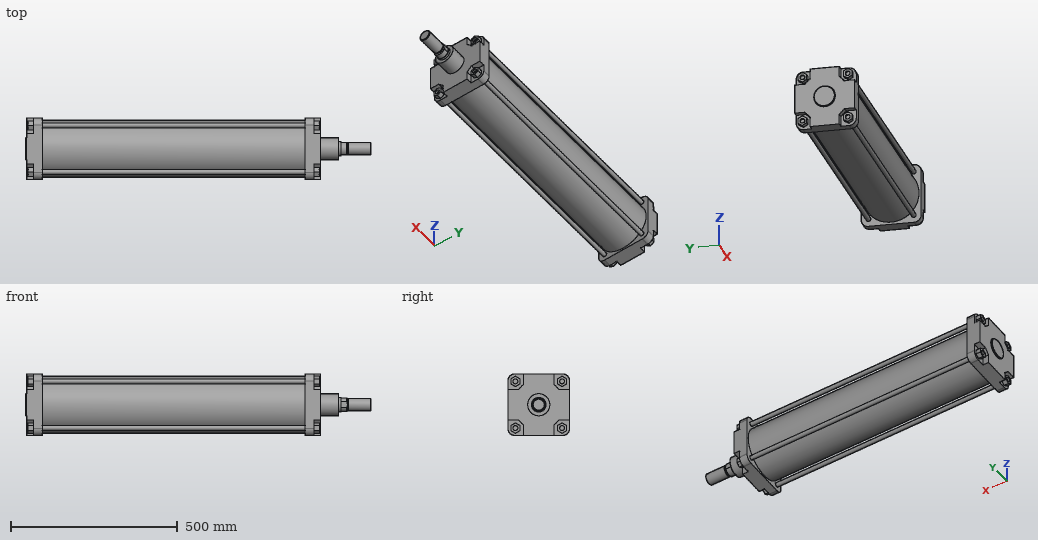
import cadquery as cq

OVERALL_LENGTH = 1038

HEAD_SIDE = 186.0
HEAD_THICKNESS = 47.0
HEAD_CORNER_RADIUS = 22.0
POCKET_SIDE = 48.0
POCKET_CHAMFER = 17.0
POCKET_DEPTH = 20.0
FRONT_FACE_X = 882.0
REAR_BOSS_LENGTH = 4.0
REAR_BOSS_CHAMFER = 2.0
REAR_BOSS_RADIUS = 33.0
FRONT_BOSS_LENGTH = 54.0
FRONT_BOSS_RADIUS = 33.0

BARREL_RADIUS = 86.0
FRONT_HEAD_INNER_X = FRONT_FACE_X - HEAD_THICKNESS

TIE_ROD_RADIUS = 7.0
TIE_ROD_EDGE_DISTANCE = 23.0
TIE_ROD_OFFSET = HEAD_SIDE / 2 - TIE_ROD_EDGE_DISTANCE
NUT_ACROSS_CORNERS = 31.0
NUT_HEIGHT = 16.0
HEX_SIDES = 6
SOCKET_RADIUS = 7.0
SOCKET_DEPTH = 6.0

ROD_RADIUS = 22.0
COLLAR_LENGTH = 6.0
WRENCH_RADIUS = 21.0
FLAT_LENGTH = 21.0
ACROSS_FLATS = 37.0
SHOULDER_CHAMFER = 3.0
RELIEF_LENGTH = 3.0
RELIEF_RADIUS = 18.0
THREAD_RADIUS = 19.0
THREAD_CHAMFER = 2.0
ROD_END_X = OVERALL_LENGTH - REAR_BOSS_LENGTH

FRONT_BOSS_END_X = FRONT_FACE_X + FRONT_BOSS_LENGTH
FLAT_START_X = FRONT_BOSS_END_X + COLLAR_LENGTH
SHOULDER_X = FLAT_START_X + FLAT_LENGTH
CORNER_SIGNS = [(1, 1), (1, -1), (-1, 1), (-1, -1)]
CORNERS = [(TIE_ROD_OFFSET * y, TIE_ROD_OFFSET * z) for y, z in CORNER_SIGNS]


def yz_plane(x):
    """Workplane across the cylinder axis, with local axes along Y and Z."""
    return cq.Workplane("YZ", origin=(x, 0, 0))


def rod_section(start, end, radius):
    """Round bar on the cylinder axis between two X positions."""
    return yz_plane(start).circle(radius).extrude(end - start)


def corner_pocket(y_sign, z_sign, start):
    """Cutter for one nut pocket: a corner square with its inner corner cut off."""
    outer = HEAD_SIDE / 2
    inner = outer - POCKET_SIDE
    cut = inner + POCKET_CHAMFER
    outline = [(outer, outer), (outer, inner), (cut, inner), (inner, cut), (inner, outer)]
    points = [(y * y_sign, z * z_sign) for y, z in outline]
    return yz_plane(start).polyline(points).close().extrude(POCKET_DEPTH)


def head(start, pocket_start):
    """Rounded square head with nut pockets and tie rod holes."""
    block = yz_plane(start).rect(HEAD_SIDE, HEAD_SIDE).extrude(HEAD_THICKNESS)
    block = block.edges("|X").fillet(HEAD_CORNER_RADIUS)
    for y_sign, z_sign in CORNER_SIGNS:
        block = block.cut(corner_pocket(y_sign, z_sign, pocket_start))
    holes = yz_plane(start).pushPoints(CORNERS).circle(TIE_ROD_RADIUS).extrude(HEAD_THICKNESS)
    return block.cut(holes)


def make_rear_head():
    """Rear head with a shallow chamfered boss."""
    boss = rod_section(-REAR_BOSS_LENGTH, 0, REAR_BOSS_RADIUS)
    boss = boss.faces("<X").chamfer(REAR_BOSS_CHAMFER)
    return head(0, 0).union(boss)


def make_front_head():
    """Front head with its nose boss, bored for the piston rod."""
    boss = rod_section(FRONT_FACE_X, FRONT_BOSS_END_X, FRONT_BOSS_RADIUS)
    bore = rod_section(FRONT_HEAD_INNER_X, FRONT_BOSS_END_X, ROD_RADIUS)
    return head(FRONT_HEAD_INNER_X, FRONT_FACE_X - POCKET_DEPTH).union(boss).cut(bore)


def make_barrel():
    """Round barrel filling the space between the heads."""
    return rod_section(HEAD_THICKNESS, FRONT_HEAD_INNER_X, BARREL_RADIUS)


def nut(y, z, start):
    """Hexagonal nut with two corners pointing along Z."""
    hexagon = yz_plane(start).polygon(HEX_SIDES, NUT_ACROSS_CORNERS).extrude(NUT_HEIGHT)
    return hexagon.rotate((0, 0, 0), (1, 0, 0), 90).translate((0, y, z))


def make_tie_rod(y, z):
    """Tie rod in one piece with its two nuts, each with a round socket in its end."""
    rear_end = POCKET_DEPTH - NUT_HEIGHT
    front_end = FRONT_FACE_X - rear_end
    bar = yz_plane(rear_end).center(y, z).circle(TIE_ROD_RADIUS).extrude(front_end - rear_end)
    tie_rod = bar.union(nut(y, z, rear_end)).union(nut(y, z, front_end - NUT_HEIGHT))
    for start in (rear_end, front_end - SOCKET_DEPTH):
        tie_rod = tie_rod.cut(yz_plane(start).center(y, z).circle(SOCKET_RADIUS).extrude(SOCKET_DEPTH))
    return tie_rod


def make_piston_rod():
    """Piston rod with wrench flats, thread relief and a chamfered thread."""
    shank = rod_section(FRONT_HEAD_INNER_X, FLAT_START_X, ROD_RADIUS)
    wrench = rod_section(FLAT_START_X, SHOULDER_X, WRENCH_RADIUS)
    wrench = wrench.faces(">X").chamfer(SHOULDER_CHAMFER)
    flats = yz_plane(FLAT_START_X).rect(ACROSS_FLATS, 2 * WRENCH_RADIUS).extrude(FLAT_LENGTH)
    relief_end = SHOULDER_X + RELIEF_LENGTH
    relief = rod_section(SHOULDER_X, relief_end, RELIEF_RADIUS)
    thread = rod_section(relief_end, ROD_END_X, THREAD_RADIUS)
    thread = thread.faces(">X").chamfer(THREAD_CHAMFER)
    return shank.union(wrench.intersect(flats)).union(relief).union(thread)


rear_head = make_rear_head()
front_head = make_front_head()
barrel = make_barrel()
piston_rod = make_piston_rod()
tie_rods = [make_tie_rod(y, z) for y, z in CORNERS]

result = cq.Compound.makeCompound(
    [rear_head.val(), front_head.val(), barrel.val(), piston_rod.val()]
    + [tie_rod.val() for tie_rod in tie_rods]
)